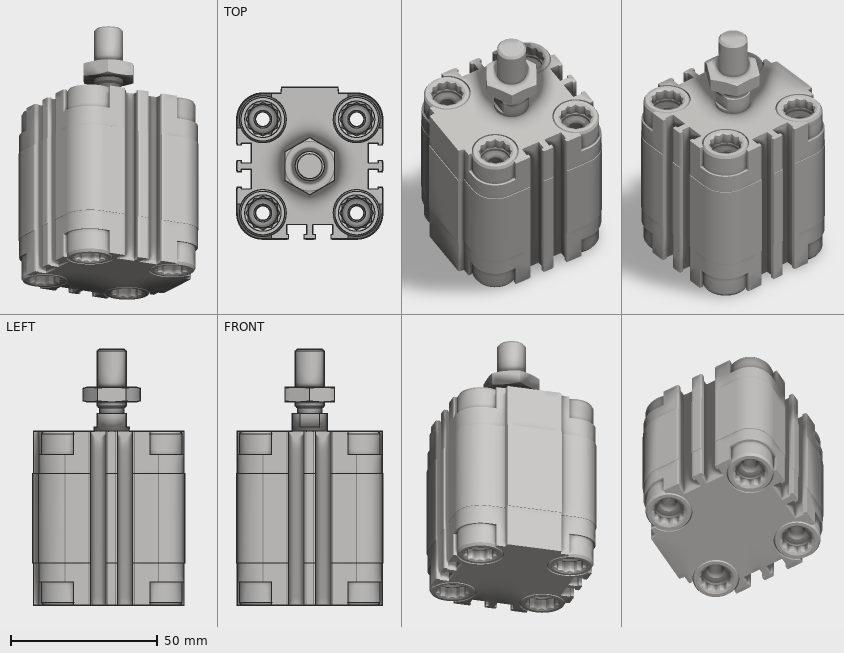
import cadquery as cq
import math

TOTAL_HEIGHT = 87.5

BODY_WIDTH = 50.0
BODY_HEIGHT = 59.5
CAP_HEIGHT = 14.5
CAP_INSET = 0.22
CORNER_RADIUS = 9.0

PAD_TOP_WIDTH = 19.25
PAD_BASE_WIDTH = 19.8
PAD_HEIGHT = 2.0

SLOT_DEPTH = 5.0
LIP_DEPTH = 1.7
RIB_THICKNESS = 2.2
RIB_HEAD_WIDTH = 3.9
SLOT_OUTER = 7.8
MOUTH_OUTER = 7.2
MOUTH_BEVEL_WIDTH = 0.6
MOUTH_BEVEL_DEPTH = 0.2

SCREW_SPACING = 32.0
HEAD_DIAMETER = 16.0
HEAD_CHAMFER_WIDTH = 0.57
HEAD_CHAMFER_HEIGHT = 1.0
NOTCH_SIZE = 12.0
NOTCH_DEPTH = 8.0
SOCKET_ACROSS_FLATS = 10.0
SOCKET_ENTRY_DIAMETER = 12.4
SOCKET_ENTRY_ANGLE = 30
SPLINE_DEPTH = 4.0
SOCKET_DEPTH = 5.0
COUNTERSINK_DIAMETER = 6.0
SCREW_HOLE_DIAMETER = 4.9

ROD_DIAMETER = 12.0
ROD_FLAT_WIDTH = 10.0
ROD_FLAT_START = 1.3
ROD_SHOULDER = 6.0
NECK_DIAMETER = 8.5
NECK_TOP = 7.9
THREAD_DIAMETER = 10.0
THREAD_CHAMFER = 0.74

NUT_BOTTOM = 10.0
NUT_HEIGHT = 5.0
NUT_ACROSS_FLATS = 17.0
NUT_CHAMFER_DROP = 0.35

HEXAGON_HALF_STEP = 30
HALF_WIDTH = BODY_WIDTH / 2
ROD_LENGTH = TOTAL_HEIGHT - BODY_HEIGHT
SCREW_CENTERS = [
    (sx * SCREW_SPACING / 2, sy * SCREW_SPACING / 2) for sx in (-1, 1) for sy in (-1, 1)
]


def hexagon_corner_diameter(across_flats):
    return across_flats / math.cos(math.radians(HEXAGON_HALF_STEP))


def slot_cutter(edge, height):
    """Undercut slot on the -Y side, right of the centre rib; edge is the distance to that side.

    The lip and the slot floor keep their place whatever the edge distance is.
    """
    mouth_inner = RIB_HEAD_WIDTH / 2
    lip = LIP_DEPTH - HALF_WIDTH
    floor = SLOT_DEPTH - HALF_WIDTH
    bevel = MOUTH_BEVEL_DEPTH - edge
    return (
        cq.Workplane("XY")
        .polyline([
            (mouth_inner - MOUTH_BEVEL_WIDTH, -edge),
            (mouth_inner, bevel),
            (mouth_inner, lip),
            (RIB_THICKNESS / 2, lip),
            (RIB_THICKNESS / 2, floor),
            (SLOT_OUTER, floor),
            (SLOT_OUTER, lip),
            (MOUTH_OUTER, lip),
            (MOUTH_OUTER, bevel),
            (MOUTH_OUTER + MOUTH_BEVEL_WIDTH, -edge),
        ])
        .close()
        .extrude(height)
    )


def profile_block(inset, height):
    """Slotted block with a pad on +Y, standing on Z = 0; inset moves the outer faces inward."""
    half = HALF_WIDTH - inset
    block = (
        cq.Workplane("XY")
        .rect(2 * half, 2 * half)
        .extrude(height)
        .edges("|Z")
        .fillet(CORNER_RADIUS - inset)
    )
    pad = (
        cq.Workplane("XY")
        .polyline([
            (-PAD_BASE_WIDTH / 2, half),
            (-PAD_BASE_WIDTH / 2, 0),
            (PAD_BASE_WIDTH / 2, 0),
            (PAD_BASE_WIDTH / 2, half),
            (PAD_TOP_WIDTH / 2, half + PAD_HEIGHT),
            (-PAD_TOP_WIDTH / 2, half + PAD_HEIGHT),
        ])
        .close()
        .extrude(height)
    )
    block = block.union(pad)
    slot = slot_cutter(half, height)
    for angle in (-90, 0, 90):
        for cutter in (slot, slot.mirror("YZ")):
            block = block.cut(cutter.rotate((0, 0, 0), (0, 0, 1), angle))
    return block


def corner_notches():
    """Blocks that clear the body corners around the upper screw heads."""
    center = HALF_WIDTH - NOTCH_SIZE / 2
    centers = [(sx * center, sy * center) for sx in (-1, 1) for sy in (-1, 1)]
    return (
        cq.Workplane("XY", origin=(0, 0, BODY_HEIGHT - NOTCH_DEPTH))
        .pushPoints(centers)
        .rect(NOTCH_SIZE, NOTCH_SIZE)
        .extrude(NOTCH_DEPTH)
    )


def head_seats():
    """Round seats that the upper screw heads fill up to their chamfers."""
    return (
        cq.Workplane("XY", origin=(0, 0, BODY_HEIGHT - NOTCH_DEPTH))
        .pushPoints(SCREW_CENTERS)
        .circle(HEAD_DIAMETER / 2)
        .extrude(NOTCH_DEPTH)
    )


def screw_head():
    """Solid chamfered head on the Z axis, its top face level with the housing top."""
    radius = HEAD_DIAMETER / 2
    bottom = BODY_HEIGHT - NOTCH_DEPTH
    return (
        cq.Workplane("XZ")
        .polyline([
            (0, bottom),
            (radius, bottom),
            (radius, BODY_HEIGHT - HEAD_CHAMFER_HEIGHT),
            (radius - HEAD_CHAMFER_WIDTH, BODY_HEIGHT),
            (0, BODY_HEIGHT),
        ])
        .close()
        .revolve(360, (0, 0, 0), (0, 1, 0))
    )


def screw_socket():
    """Twelve-point socket with a conical entry and a countersunk floor, on the Z axis."""
    entry_radius = SOCKET_ENTRY_DIAMETER / 2
    socket_radius = SOCKET_ACROSS_FLATS / 2
    sink_radius = COUNTERSINK_DIAMETER / 2
    hole_radius = SCREW_HOLE_DIAMETER / 2
    floor = BODY_HEIGHT - SOCKET_DEPTH
    entry_depth = (entry_radius - socket_radius) * math.tan(math.radians(SOCKET_ENTRY_ANGLE))
    socket = (
        cq.Workplane("XZ")
        .polyline([
            (0, floor - sink_radius + hole_radius),
            (hole_radius, floor - sink_radius + hole_radius),
            (sink_radius, floor),
            (socket_radius, floor),
            (socket_radius, BODY_HEIGHT - entry_depth),
            (entry_radius, BODY_HEIGHT),
            (0, BODY_HEIGHT),
        ])
        .close()
        .revolve(360, (0, 0, 0), (0, 1, 0))
    )
    hexagon = (
        cq.Workplane("XY", origin=(0, 0, BODY_HEIGHT - SPLINE_DEPTH))
        .polygon(6, hexagon_corner_diameter(SOCKET_ACROSS_FLATS))
        .extrude(SPLINE_DEPTH)
    )
    turned_hexagon = hexagon.rotate((0, 0, 0), (0, 0, 1), HEXAGON_HALF_STEP)
    return socket.union(hexagon).union(turned_hexagon)


def at_both_ends(tool):
    """The tool together with its mirror image at the lower end of the housing."""
    middle = (0, 0, BODY_HEIGHT / 2)
    return [tool, tool.mirror("XY", middle)]


def make_housing():
    barrel_height = BODY_HEIGHT - 2 * CAP_HEIGHT
    barrel = profile_block(0, barrel_height).translate((0, 0, CAP_HEIGHT))
    cap = profile_block(CAP_INSET, CAP_HEIGHT)
    housing = barrel.union(cap).union(cap.translate((0, 0, BODY_HEIGHT - CAP_HEIGHT)))
    for clearance in at_both_ends(corner_notches().union(head_seats())):
        housing = housing.cut(clearance)
    for head in at_both_ends(screw_head()):
        for x, y in SCREW_CENTERS:
            housing = housing.union(head.translate((x, y, 0)))
    for socket in at_both_ends(screw_socket()):
        for x, y in SCREW_CENTERS:
            housing = housing.cut(socket.translate((x, y, 0)))
    through_holes = (
        cq.Workplane("XY")
        .pushPoints(SCREW_CENTERS)
        .circle(SCREW_HOLE_DIAMETER / 2)
        .extrude(BODY_HEIGHT)
    )
    return housing.cut(through_holes)


def make_rod():
    """Stepped rod standing on the housing top, with two wrench flats facing +Y and -Y."""
    rod_radius = ROD_DIAMETER / 2
    neck_radius = NECK_DIAMETER / 2
    thread_radius = THREAD_DIAMETER / 2
    rod = (
        cq.Workplane("XZ")
        .polyline([
            (0, 0),
            (rod_radius, 0),
            (rod_radius, ROD_SHOULDER),
            (neck_radius, ROD_SHOULDER),
            (neck_radius, NECK_TOP),
            (thread_radius, NECK_TOP + thread_radius - neck_radius),
            (thread_radius, ROD_LENGTH - THREAD_CHAMFER),
            (thread_radius - THREAD_CHAMFER, ROD_LENGTH),
            (0, ROD_LENGTH),
        ])
        .close()
        .revolve(360, (0, 0, 0), (0, 1, 0))
    )
    flat_height = ROD_SHOULDER - ROD_FLAT_START
    flat_offset = (ROD_FLAT_WIDTH + ROD_DIAMETER) / 2
    flat_cutter = cq.Workplane("XY").box(
        ROD_DIAMETER, ROD_DIAMETER, flat_height, centered=(True, True, False)
    )
    for side in (-1, 1):
        rod = rod.cut(flat_cutter.translate((0, side * flat_offset, ROD_FLAT_START)))
    return rod.translate((0, 0, BODY_HEIGHT))


def make_nut():
    """Hexagon nut with points on +Y and -Y, bevelled corners and a bore that fits the thread."""
    corner_radius = hexagon_corner_diameter(NUT_ACROSS_FLATS) / 2
    face_radius = NUT_ACROSS_FLATS / 2
    hexagon = (
        cq.Workplane("XY")
        .polygon(6, 2 * corner_radius)
        .circle(THREAD_DIAMETER / 2)
        .extrude(NUT_HEIGHT)
        .rotate((0, 0, 0), (0, 0, 1), HEXAGON_HALF_STEP)
    )
    bevel = (
        cq.Workplane("XZ")
        .polyline([
            (0, 0),
            (face_radius, 0),
            (corner_radius, NUT_CHAMFER_DROP),
            (corner_radius, NUT_HEIGHT - NUT_CHAMFER_DROP),
            (face_radius, NUT_HEIGHT),
            (0, NUT_HEIGHT),
        ])
        .close()
        .revolve(360, (0, 0, 0), (0, 1, 0))
    )
    return hexagon.intersect(bevel).translate((0, 0, BODY_HEIGHT + NUT_BOTTOM))


housing = make_housing()
rod = make_rod()
nut = make_nut()
result = cq.Compound.makeCompound([housing.val(), rod.val(), nut.val()])